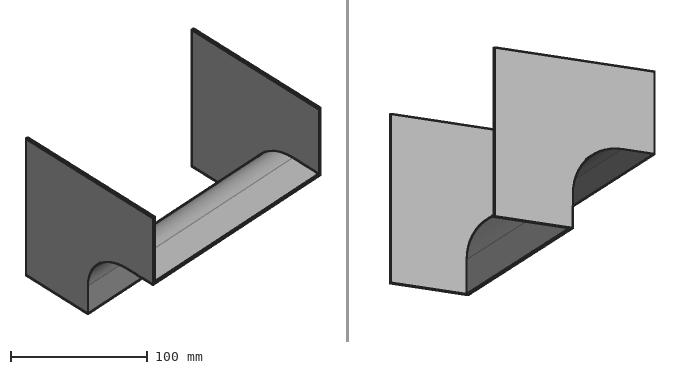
import cadquery as cq

side_length = 130.0
overall_width = 175.9
sheet = 2.0
wall_height = 61.5
straight_length = 26.5

bend_center = side_length - straight_length
outer_radius = bend_center - wall_height
inner_radius = outer_radius - sheet
floor_underside = wall_height + sheet
half_chord = 0.5 ** 0.5


def bend_midpoint(radius):
    """Middle of the quarter bend, in (x, distance below the top edge)."""
    offset = bend_center - radius * half_chord
    return (offset, -offset)


def side_wall():
    """L-shaped wall with a rounded inner corner, top left corner at the origin."""
    return (
        cq.Workplane("XZ")
        .lineTo(side_length, 0)
        .lineTo(side_length, -floor_underside)
        .lineTo(bend_center, -floor_underside)
        .threePointArc(bend_midpoint(inner_radius), (floor_underside, -bend_center))
        .lineTo(floor_underside, -side_length)
        .lineTo(0, -side_length)
        .close()
        .extrude(-sheet)
    )


def bent_floor():
    """Sheet of constant thickness that follows the walls' inner corner."""
    return (
        cq.Workplane("XZ")
        .moveTo(side_length, -wall_height)
        .lineTo(bend_center, -wall_height)
        .threePointArc(bend_midpoint(outer_radius), (wall_height, -bend_center))
        .lineTo(wall_height, -side_length)
        .lineTo(floor_underside, -side_length)
        .lineTo(floor_underside, -bend_center)
        .threePointArc(bend_midpoint(inner_radius), (bend_center, -floor_underside))
        .lineTo(side_length, -floor_underside)
        .close()
        .extrude(-overall_width)
    )


near_wall = side_wall()
far_wall = side_wall().translate((0, overall_width - sheet, 0))
result = bent_floor().union(near_wall).union(far_wall)